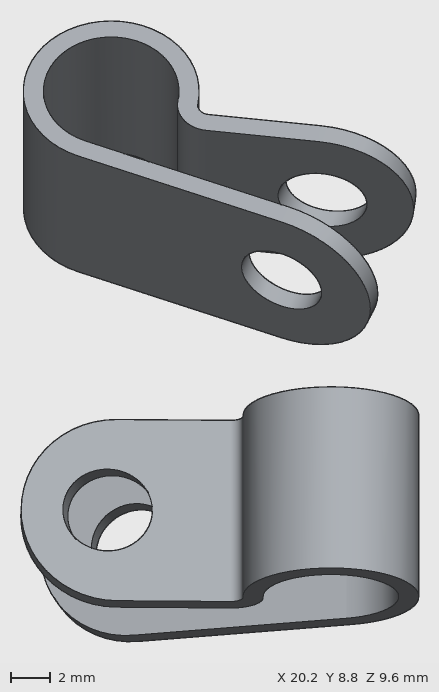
import cadquery as cq
import math

length = 20.2
strip_width = 9.6
thickness = 1.0
loop_radius = 4.4
bend_radius = 0.6
bend_position = 12.2
tab_angle = 15.0
raised_tab_length = 10.48
hole_diameter = 4.32

bore_radius = loop_radius - thickness
tab_radius = strip_width / 2
hole_x = length - loop_radius - tab_radius
bend_outer_radius = bend_radius + thickness
bend_distance = loop_radius + bend_radius


def polar(radius, degrees, center=(0, 0)):
    angle = math.radians(degrees)
    return (center[0] + radius * math.cos(angle), center[1] + radius * math.sin(angle))


bend_center = polar(bend_distance, bend_position)
bend_start = bend_position + 180
bend_end = tab_angle + 270
bend_middle = (bend_start + bend_end) / 2
loop_middle = (bend_position + 270) / 2
tab_start_upper = polar(bend_radius, bend_end, bend_center)
tab_start_lower = polar(bend_outer_radius, bend_end, bend_center)


def make_strip():
    """Bent strip: straight tab, loop, reverse bend and raised tab."""
    tip_x = length - loop_radius
    return (
        cq.Workplane("XY")
        .moveTo(tip_x, -loop_radius)
        .lineTo(0, -loop_radius)
        .threePointArc(polar(loop_radius, loop_middle), polar(loop_radius, bend_position))
        .threePointArc(polar(bend_radius, bend_middle, bend_center), tab_start_upper)
        .lineTo(*polar(raised_tab_length, tab_angle, tab_start_upper))
        .lineTo(*polar(raised_tab_length, tab_angle, tab_start_lower))
        .lineTo(*tab_start_lower)
        .threePointArc(
            polar(bend_outer_radius, bend_middle, bend_center),
            polar(bore_radius, bend_position),
        )
        .threePointArc(polar(bore_radius, loop_middle), (0, -bore_radius))
        .lineTo(tip_x, -bore_radius)
        .close()
        .extrude(strip_width / 2, both=True)
    )


def round_tab_end(body, plane, center_x):
    """Trim the square tab end, lying just below the plane, to a half circle."""
    square_end = cq.Workplane(plane).center(center_x + tab_radius / 2, 0).rect(tab_radius, strip_width)
    round_end = cq.Workplane(plane).center(center_x, 0).circle(tab_radius)
    return body.cut(square_end.extrude(-thickness).cut(round_end.extrude(-thickness)))


def drill_screw_hole(body):
    """One screw hole along Y through both tabs, square to the straight tab."""
    hole = cq.Workplane("XZ").center(hole_x, 0).circle(hole_diameter / 2)
    return body.cut(hole.extrude(2 * loop_radius, both=True))


straight_plane = cq.Plane(origin=(0, -bore_radius, 0), xDir=(1, 0, 0), normal=(0, 1, 0))
raised_plane = cq.Plane(
    origin=(*tab_start_upper, 0),
    xDir=(*polar(1, tab_angle), 0),
    normal=(*polar(1, tab_angle + 90), 0),
)

result = make_strip()
result = round_tab_end(result, straight_plane, hole_x)
result = round_tab_end(result, raised_plane, raised_tab_length - tab_radius)
result = drill_screw_hole(result)